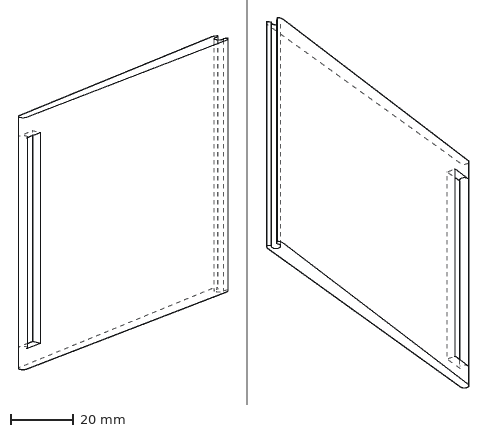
import cadquery as cq
import math

length = 107.1
height = 85.0
thickness = 6.0

bar_radius = 1.5
window_far_edge = 8.7
window_margin = 7.0

channel_radius = 1.5
mouth_angle = 90.0
clip_radius = thickness / 2

half_mouth = math.radians(mouth_angle / 2)
tip_rise = clip_radius * math.cos(half_mouth)

bar_y = -length / 2 + bar_radius
clip_y = length / 2 - tip_rise


def cylinder(x, y, radius, z_start=0.0, cylinder_height=height):
    return (
        cq.Workplane("XY", origin=(x, y, z_start))
        .circle(radius)
        .extrude(cylinder_height)
    )


def prism(points):
    return cq.Workplane("XY").polyline(points).close().extrude(height)


def tapered_plate():
    """Plate whose faces are tangent to the thin bar and the thick clip."""
    slope = math.asin((clip_radius - bar_radius) / (clip_y - bar_y))

    def tangent_point(center_y, radius):
        return radius * math.cos(slope), center_y - radius * math.sin(slope)

    bar_x, bar_tangent_y = tangent_point(bar_y, bar_radius)
    clip_x, clip_tangent_y = tangent_point(clip_y, clip_radius)
    web = prism([
        (-bar_x, bar_tangent_y),
        (bar_x, bar_tangent_y),
        (clip_x, clip_tangent_y),
        (-clip_x, clip_tangent_y),
    ])
    return web.union(cylinder(0, bar_y, bar_radius)).union(cylinder(0, clip_y, clip_radius))


def cut_channel(body):
    """Open the round channel with a wedge that flares from the channel center."""
    mouth_depth = 2 * clip_radius
    mouth_half_width = mouth_depth * math.tan(half_mouth)
    mouth = prism([
        (0, clip_y),
        (mouth_half_width, clip_y + mouth_depth),
        (-mouth_half_width, clip_y + mouth_depth),
    ])
    return body.cut(mouth).cut(cylinder(0, clip_y, channel_radius))


def cut_window(body):
    """Cut through the plate, leaving a full round bar along the thin edge."""
    window_height = height - 2 * window_margin
    window = (
        cq.Workplane("XY", origin=(0, -length / 2, window_margin))
        .rect(thickness, 2 * window_far_edge)
        .extrude(window_height)
    )
    bar = cylinder(0, bar_y, bar_radius, window_margin, window_height)
    return body.cut(window).union(bar)


result = cut_window(cut_channel(tapered_plate()))
result = result.translate((0, 0, -height / 2))